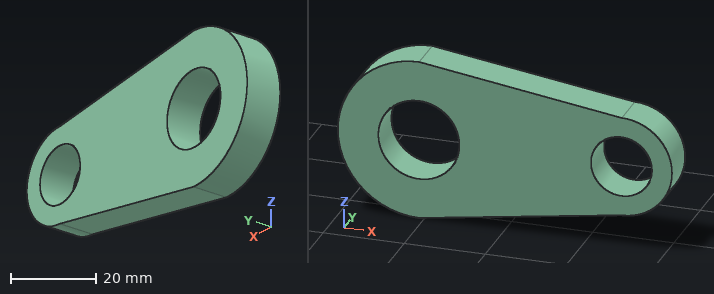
import cadquery as cq

length = 82.5
thickness = 10.0
large_end_diameter = 40.0
small_end_diameter = 25.0
large_hole_diameter = 20.0
small_hole_diameter = 15.0

large_radius = large_end_diameter / 2
small_radius = small_end_diameter / 2
center_distance = length - large_radius - small_radius


def link_plate():
    """Tapered plate along X with a half-round at each end.

    The straight sides meet the arcs directly above and below the arc centers,
    so they are not tangent to them. The large end is centered on the origin.
    """
    return (
        cq.Workplane("XZ")
        .moveTo(0, large_radius)
        .lineTo(center_distance, small_radius)
        .threePointArc((center_distance + small_radius, 0), (center_distance, -small_radius))
        .lineTo(0, -large_radius)
        .threePointArc((-large_radius, 0), (0, large_radius))
        .close()
        .extrude(thickness)
    )


def through_hole(center_x, diameter):
    """Cylinder through the full plate thickness, used as a cutter."""
    return cq.Workplane("XZ").center(center_x, 0).circle(diameter / 2).extrude(thickness)


result = (
    link_plate()
    .cut(through_hole(0, large_hole_diameter))
    .cut(through_hole(center_distance, small_hole_diameter))
)